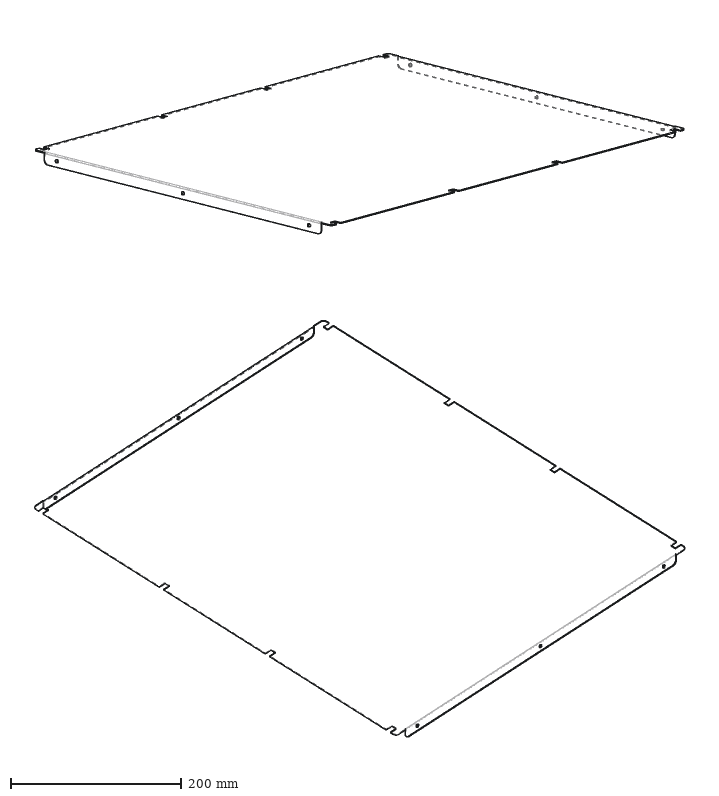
import cadquery as cq

width = 486.0
length = 599.5
height = 15.0
sheet = 1.5

plate_corner_radius = 5.0
flange_inset = 17.0
flange_length = width - 2 * flange_inset
flange_corner_radius = 5.5
bend_inner_radius = 0.3
bend_outer_radius = bend_inner_radius + sheet

notch_depth = 9.5
notch_width = 7.0
end_notch_inset = 12.5
middle_notch_y = 87.5
end_notch_y = length / 2 - end_notch_inset

hole_diameter = 4.0
hole_drop = height / 2
side_hole_x = 206.0


def make_plate():
    """Flat sheet with rounded corners; its top face is at Z = 0."""
    plate = cq.Workplane("XY").box(width, length, sheet, centered=(True, True, False))
    return plate.edges("|Z").fillet(plate_corner_radius).translate((0, 0, -sheet))


def make_folded_channel():
    """Plate strip with both end flanges folded down through rounded bends."""
    outer = (
        cq.Workplane("XY")
        .box(flange_length, length, height, centered=(True, True, False))
        .translate((0, 0, -height))
        .edges("|X and >Z")
        .fillet(bend_outer_radius)
    )
    inner = (
        cq.Workplane("XY")
        .box(flange_length, length - 2 * sheet, height - sheet, centered=(True, True, False))
        .translate((0, 0, -height))
        .edges("|X and >Z")
        .fillet(bend_inner_radius)
    )
    return outer.cut(inner).edges("|Y and <Z").fillet(flange_corner_radius)


def make_side_tabs():
    """Margins of the plate on either side of the folded strip."""
    strip = cq.Workplane("XY").box(flange_length, length, 2 * height)
    return make_plate().cut(strip)


def make_notches():
    """Cutters for the open rectangular notches along both long edges."""
    notch_points = [
        (x_side * width / 2, y)
        for x_side in (-1, 1)
        for y in (-end_notch_y, -middle_notch_y, middle_notch_y, end_notch_y)
    ]
    return (
        cq.Workplane("XY")
        .pushPoints(notch_points)
        .rect(2 * notch_depth, notch_width)
        .extrude(height, both=True)
    )


def make_flange_holes():
    """Cutters for the three round holes through each flange."""
    return (
        cq.Workplane("XZ")
        .pushPoints([(x, -hole_drop) for x in (-side_hole_x, 0, side_hole_x)])
        .circle(hole_diameter / 2)
        .extrude(length, both=True)
    )


sheet_body = make_folded_channel().union(make_side_tabs())
result = sheet_body.cut(make_notches()).cut(make_flange_holes())